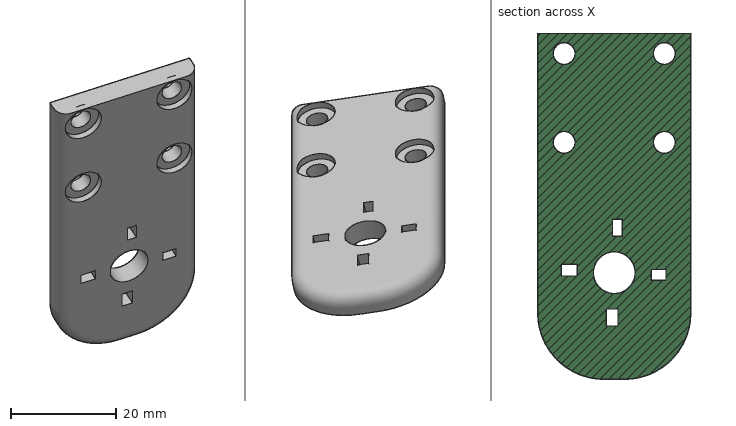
import cadquery as cq

thickness = 4.32
width = 29.21
height = 65.81
corner_radius = 12.7
edge_radius = 2.54
hub_to_bottom = 20.32
bottom_z = -hub_to_bottom
top_z = bottom_z + height

hub_diameter = 7.9
hub_chamfer_width = 0.22
hub_chamfer_depth = 0.13

screw_diameter = 4.1
screw_spacing_y = 19.05
screw_spacing_z = 16.9
screw_top_margin = 3.81
counterbore_diameter = 7.42
counterbore_depth = 1.27

windows = [
    (0.6, 8.55, 1.8, 3.15),
    (-0.4, -8.52, 2.18, 3.2),
    (8.44, -0.4, 2.8, 2.0),
    (-8.54, 0.5, 3.0, 2.2),
]


def make_plate():
    """Plate with two rounded bottom corners; its +X rim is rounded except along the top."""
    plate = (
        cq.Workplane("YZ")
        .center(0, bottom_z + height / 2)
        .rect(width, height)
        .extrude(thickness)
        .edges("|X and <Z")
        .fillet(corner_radius)
    )
    rounded_rim = plate.faces(">X").edges("not >Z")
    return rounded_rim.fillet(edge_radius)


def cylinder(y, z, diameter, start_x, length):
    """Cylinder along +X centred on (y, z)."""
    return cq.Workplane("YZ", origin=(start_x, y, z)).circle(diameter / 2).extrude(length)


def cut_hub(body):
    """Cut the hub bore and the cone that chamfers its -X rim."""
    body = body.cut(cylinder(0, 0, hub_diameter, 0, thickness))
    bore_radius = hub_diameter / 2
    rim_radius = bore_radius + hub_chamfer_width
    face_centre = cq.Vector(0, 0, 0)
    inward = cq.Vector(1, 0, 0)
    cone = cq.Solid.makeCone(rim_radius, bore_radius, hub_chamfer_depth, face_centre, inward)
    return body.cut(cq.Workplane(cone))


def cut_screw_holes(body):
    """Cut the four through holes and their counterbores."""
    seat_x = thickness - counterbore_depth
    upper_z = top_z - screw_top_margin
    for y in (-screw_spacing_y / 2, screw_spacing_y / 2):
        for z in (upper_z, upper_z - screw_spacing_z):
            body = body.cut(cylinder(y, z, screw_diameter, 0, thickness))
            body = body.cut(cylinder(y, z, counterbore_diameter, seat_x, counterbore_depth))
    return body


def cut_windows(body):
    """Cut the four rectangular windows through the plate."""
    for y, z, size_y, size_z in windows:
        window = cq.Workplane("YZ", origin=(0, y, z)).rect(size_y, size_z).extrude(thickness)
        body = body.cut(window)
    return body


result = cut_windows(cut_screw_holes(cut_hub(make_plate())))